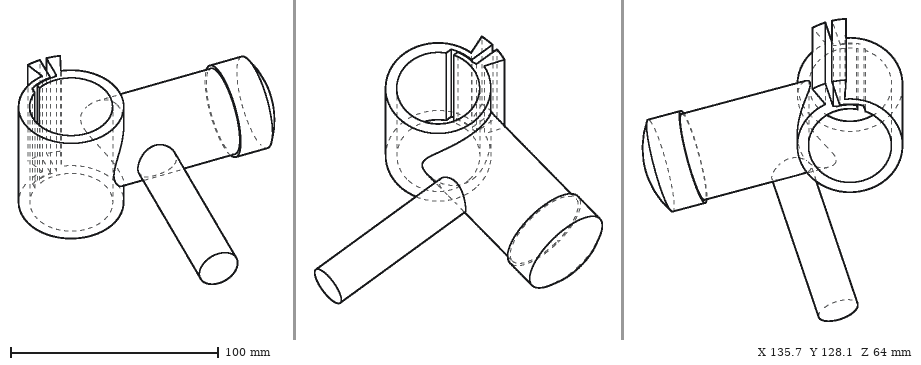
import cadquery as cq
import math

ring_outer_radius = 25.4
ring_inner_radius = 20.0
ring_height = 64.0

ear_end_radius = 35.75
ear_root_half_width = 4.9
ear_tip_half_width = 8.5
ear_gap = 3.3

recess_radius = 22.6
tongue_clearance = 0.4
tongue_tip_y = -9.3
recess_floor_y = -12.5
slot_end_angle = 20.0

arm_radius = 21.5
cap_radius = 23.0
cap_start_y = 79.0
cap_rim_y = 95.5
dome_apex_y = 102.72

handle_radius = 10.0
handle_y = 36.0
handle_end_x = 100.0


def left_point(radius, y):
    """Point on the -X side of a circle about the origin at height y."""
    return (-math.sqrt(radius**2 - y**2), y)


def extrude_full_height(outline):
    return outline.extrude(ring_height / 2, both=True)


def make_ears():
    """Both ears as one flared block; the slot splits it later."""
    root_top = left_point(ring_outer_radius, ear_root_half_width)
    tip_top = left_point(ear_end_radius, ear_tip_half_width)
    root_bottom = left_point(ring_outer_radius, -ear_root_half_width)
    tip_bottom = left_point(ear_end_radius, -ear_tip_half_width)
    inside_ring_x = -(ring_inner_radius + ring_outer_radius) / 2
    outline = (
        cq.Workplane("XY")
        .moveTo(inside_ring_x, ear_root_half_width)
        .lineTo(*root_top)
        .lineTo(*tip_top)
        .threePointArc((-ear_end_radius, 0), tip_bottom)
        .lineTo(*root_bottom)
        .lineTo(inside_ring_x, -ear_root_half_width)
        .close()
    )
    return extrude_full_height(outline)


def make_split():
    """Slot between the ears, running on behind the tongue and out below its tip."""
    half_gap = ear_gap / 2
    tongue_radius = recess_radius - tongue_clearance
    slot_open_x = -ear_end_radius - ear_gap
    slot_end_x = -tongue_radius - half_gap * math.tan(math.radians(slot_end_angle))
    inside_bore_x = -ring_inner_radius / 2
    outline = (
        cq.Workplane("XY")
        .moveTo(slot_open_x, half_gap)
        .lineTo(slot_end_x, half_gap)
        .lineTo(-tongue_radius, 0)
        .threePointArc(
            left_point(tongue_radius, tongue_tip_y / 2),
            left_point(tongue_radius, tongue_tip_y),
        )
        .lineTo(inside_bore_x, tongue_tip_y)
        .lineTo(inside_bore_x, recess_floor_y)
        .lineTo(*left_point(recess_radius, recess_floor_y))
        .threePointArc(
            left_point(recess_radius, recess_floor_y / 2),
            left_point(recess_radius, -half_gap),
        )
        .lineTo(slot_open_x, -half_gap)
        .close()
    )
    return extrude_full_height(outline)


def make_arm():
    """Arm and domed cap as one revolved profile about the Y axis."""
    dome_height = dome_apex_y - cap_rim_y
    dome_radius = (cap_radius**2 + dome_height**2) / (2 * dome_height)
    dome_centre_y = dome_apex_y - dome_radius
    dome_mid_x = cap_radius / 2
    dome_mid_y = dome_centre_y + math.sqrt(dome_radius**2 - dome_mid_x**2)
    return (
        cq.Workplane("XY")
        .lineTo(arm_radius, 0)
        .lineTo(arm_radius, cap_start_y)
        .lineTo(cap_radius, cap_start_y)
        .lineTo(cap_radius, cap_rim_y)
        .threePointArc((dome_mid_x, dome_mid_y), (0, dome_apex_y))
        .close()
        .revolve(360, (0, 0), (0, 1))
    )


def make_handle():
    return cq.Workplane("YZ").center(handle_y, 0).circle(handle_radius).extrude(handle_end_x)


ring = extrude_full_height(cq.Workplane("XY").circle(ring_outer_radius))
bore = extrude_full_height(cq.Workplane("XY").circle(ring_inner_radius))

result = (
    ring.union(make_arm())
    .union(make_handle())
    .union(make_ears())
    .cut(bore)
    .cut(make_split())
)